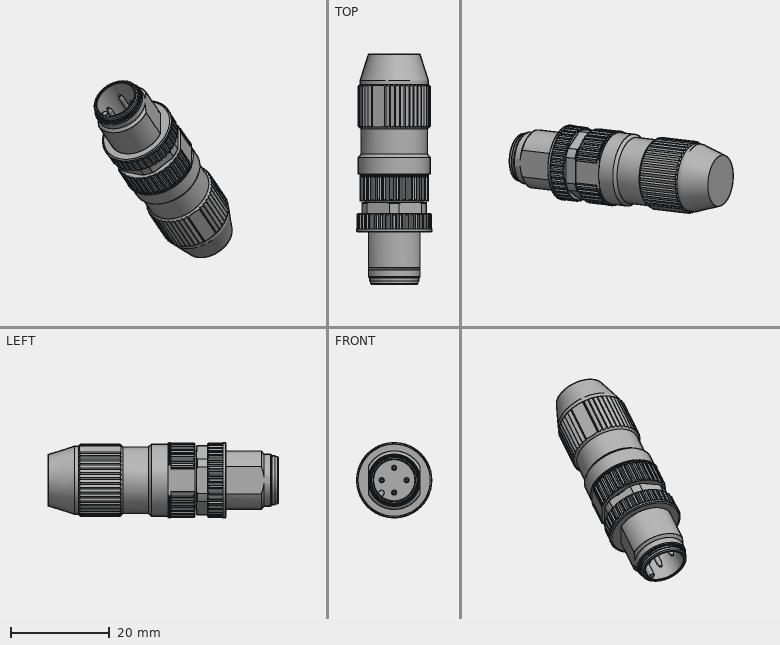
import cadquery as cq
import math

LENGTH = 46.75

BUSHING_END_R = 10.45 / 2
BUSHING_R = 13.9 / 2
BUSHING_CONE_Y = 41.37
NUT_REAR_Y = 40.55
NUT_FRONT_Y = 31.55
NUT_R = 14.7 / 2
NUT_REAR_CHAMFER = 0.35
NUT_TEETH = 46
NUT_GROOVE_DEPTH = 0.255
NUT_VALLEY_SKEW = 0.0043
NUT_FLAT_ANGLE = 117.0
NUT_FLAT_RADIUS = 7.1
NUT_FLAT_HALF_WIDTH = 1.35

NECK_R = 13.5 / 2
COLLAR_CONE_Y = 26.4
COLLAR_Y = 25.75
COLLAR_R = 14.7 / 2

RING_TIP_R = 15.15 / 2
RING_SHOULDER_R = RING_TIP_R - 0.05
RING_ROOT_R = RING_TIP_R - 0.35
RING_TEETH = 36
RING_PITCH = 360.0 / RING_TEETH
RING_ROOT_SHARE = 0.25
RING_CREST_SHARE = 0.32
RING_CHAMFER = 0.25
LIP_R = 15.3 / 2
LIP_CHAMFER = 0.2
COUPLING_BEVEL_WIDTH = 0.35
COUPLING_BEVEL_LENGTH = 0.15
GRIP_REAR_Y = 22.45
GRIP_LIP_Y = 21.8
GRIP_FRONT_Y = 16.95
GRIP_FLATS = 13.9

SHANK_R = 11.8 / 2
HEX_REAR_Y = 16.6
HEX_FLATS = 13.1
HEX_CORNER_R = 14.1 / 2
HEX_CHAMFER = 0.15

COUPLING_REAR_Y = 14.35
COUPLING_LIP_Y = 11.25
COUPLING_FRONT_Y = 10.6

SLEEVE_R = 11.87 / 2
SLEEVE_CONE_Y = 3.45
NOSE_R = 10.6 / 2
NOSE_REAR_Y = 2.95
NOSE_FRONT_Y = 1.45
NOSE_CHAMFER = 0.2
SLEEVE_FLATS = 10.5
GROOVE_R = 9.5 / 2
RIM_R = 9.95 / 2
RIM_REAR_Y = 1.25
RIM_FRONT_Y = 0.75
MOUTH_R = 9.7 / 2
MOUTH_CHAMFER = 0.25
BORE_CHAMFER = 0.15

BORE_R = 8.35 / 2
BORE_DEPTH = 8.4
PIN_R = 0.5
PIN_CIRCLE_R = 2.52
PIN_FRONT_Y = 1.95
PIN_TIP_LENGTH = 0.95
PIN_TIP_R = 0.25
KEY_R = 0.55
KEY_CENTER_R = 3.65
KEY_ANGLE = 225.0
KEY_FRONT_Y = 0.45


def polar(radius, degrees):
    """Point in the XZ plane; the angle is counted from +X towards +Z."""
    angle = math.radians(degrees)
    return (radius * math.cos(angle), radius * math.sin(angle))


def section(y):
    """Cross-section plane at a given Y, with local axes +X and +Z, extruding towards -Y."""
    return cq.Workplane("XZ", origin=(0, y, 0))


def revolve_profile(points):
    """Solid of revolution about Y from (radius, y) points, closed along the axis."""
    outline = [(0, points[0][1])] + points + [(0, points[-1][1])]
    return cq.Workplane("XY").polyline(outline).close().revolve(360, (0, 0), (0, 1))


def flats_across_x(width, rear_y, front_y):
    """Slab that trims a round section to two flats facing +X and -X."""
    return section(rear_y).rect(width, 2 * LIP_R + 0.45).extrude(rear_y - front_y)


def half_nut_outline():
    """Sawtooth outline over half a turn, from one wrench flat to the opposite one."""
    pitch = 360.0 / NUT_TEETH
    flat_edge_angle = math.degrees(math.atan2(NUT_FLAT_HALF_WIDTH, NUT_FLAT_RADIUS))
    flat_edge_r = math.hypot(NUT_FLAT_HALF_WIDTH, NUT_FLAT_RADIUS)
    points = [(flat_edge_r, flat_edge_angle)]
    for tooth in range(1, NUT_TEETH // 2 - 1):
        tip = (tooth + 0.5) * pitch
        points.append((NUT_R, tip))
        valley_share = 0.5 + NUT_VALLEY_SKEW * (tip + pitch / 2 - 90)
        points.append((NUT_R - NUT_GROOVE_DEPTH, tip + valley_share * pitch))
    points[-1] = (flat_edge_r, 180 - flat_edge_angle)
    return points


def clamping_nut():
    """Toothed nut with two opposite wrench flats and a 45 degree cone at its front."""
    half = half_nut_outline()
    outline = [polar(r, NUT_FLAT_ANGLE + turn + a) for turn in (0, 180) for r, a in half]
    toothed = section(NUT_REAR_Y).polyline(outline).close().extrude(NUT_REAR_Y - NUT_FRONT_Y)
    envelope = revolve_profile([
        (BUSHING_R, NUT_REAR_Y),
        (NUT_R, NUT_REAR_Y - NUT_REAR_CHAMFER),
        (NUT_R, NUT_FRONT_Y + NUT_R - NECK_R),
        (NECK_R, NUT_FRONT_Y),
    ])
    return toothed.intersect(envelope)


def bushing_and_housing():
    return revolve_profile([
        (BUSHING_END_R, LENGTH),
        (BUSHING_R, BUSHING_CONE_Y),
        (BUSHING_R, NUT_REAR_Y),
        (NECK_R, NUT_REAR_Y),
        (NECK_R, COLLAR_CONE_Y),
        (COLLAR_R, COLLAR_Y),
        (COLLAR_R, GRIP_REAR_Y),
        (SHANK_R, GRIP_REAR_Y),
        (SHANK_R, COUPLING_REAR_Y),
    ])


def toothed_ring(rear_y, front_y, first_tooth_angle):
    """Ring of round-crested teeth."""
    root_half = RING_PITCH * RING_ROOT_SHARE / 2
    crest_half = RING_PITCH * RING_CREST_SHARE / 2
    start = first_tooth_angle - RING_PITCH / 2
    ring = section(rear_y).moveTo(*polar(RING_ROOT_R, start - root_half))
    for tooth in range(RING_TEETH):
        crest = first_tooth_angle + tooth * RING_PITCH
        ring = (
            ring.lineTo(*polar(RING_ROOT_R, crest - RING_PITCH / 2 + root_half))
            .lineTo(*polar(RING_SHOULDER_R, crest - crest_half))
            .threePointArc(polar(RING_TIP_R, crest), polar(RING_SHOULDER_R, crest + crest_half))
        )
        if tooth < RING_TEETH - 1:
            ring = ring.lineTo(*polar(RING_ROOT_R, crest + RING_PITCH / 2 - root_half))
    return ring.close().extrude(rear_y - front_y)


def grip_ring():
    lip = revolve_profile([
        (LIP_R - LIP_CHAMFER, GRIP_REAR_Y),
        (LIP_R, GRIP_REAR_Y - LIP_CHAMFER),
        (LIP_R, GRIP_LIP_Y + LIP_CHAMFER),
        (LIP_R - LIP_CHAMFER, GRIP_LIP_Y),
    ])
    envelope = revolve_profile([
        (RING_TIP_R, GRIP_LIP_Y),
        (RING_TIP_R, GRIP_FRONT_Y + RING_CHAMFER),
        (RING_TIP_R - RING_CHAMFER, GRIP_FRONT_Y),
    ])
    teeth = toothed_ring(GRIP_LIP_Y, GRIP_FRONT_Y, RING_PITCH / 2).intersect(envelope)
    return lip.union(teeth).intersect(flats_across_x(GRIP_FLATS, GRIP_REAR_Y, GRIP_FRONT_Y))


def hexagon():
    """Hexagon with rounded corners and two of its faces towards +X and -X."""
    corner_diameter = HEX_FLATS / math.cos(math.pi / 6)
    prism = (
        section(HEX_REAR_Y)
        .transformed(rotate=(0, 0, 30))
        .polygon(6, corner_diameter)
        .extrude(HEX_REAR_Y - COUPLING_REAR_Y)
    )
    envelope = revolve_profile([
        (HEX_CORNER_R - HEX_CHAMFER, HEX_REAR_Y),
        (HEX_CORNER_R, HEX_REAR_Y - HEX_CHAMFER),
        (HEX_CORNER_R, COUPLING_REAR_Y),
    ])
    return prism.intersect(envelope)


def coupling_ring():
    envelope = revolve_profile([
        (RING_TIP_R - RING_CHAMFER, COUPLING_REAR_Y),
        (RING_TIP_R, COUPLING_REAR_Y - RING_CHAMFER),
        (RING_TIP_R, COUPLING_LIP_Y),
    ])
    teeth = toothed_ring(COUPLING_REAR_Y, COUPLING_LIP_Y, 0).intersect(envelope)
    lip = revolve_profile([
        (LIP_R, COUPLING_LIP_Y),
        (LIP_R, COUPLING_FRONT_Y + COUPLING_BEVEL_LENGTH),
        (LIP_R - COUPLING_BEVEL_WIDTH, COUPLING_FRONT_Y),
    ])
    return teeth.union(lip)


def plug_sleeve():
    """Round sleeve with two flats, a latching groove and an open socket."""
    barrel = revolve_profile([
        (SLEEVE_R, COUPLING_FRONT_Y),
        (SLEEVE_R, SLEEVE_CONE_Y),
        (NOSE_R, NOSE_REAR_Y),
        (NOSE_R, NOSE_FRONT_Y + NOSE_CHAMFER),
        (NOSE_R - NOSE_CHAMFER, NOSE_FRONT_Y),
    ])
    barrel = barrel.intersect(flats_across_x(SLEEVE_FLATS, COUPLING_FRONT_Y, NOSE_FRONT_Y))
    mouth = revolve_profile([
        (GROOVE_R, NOSE_FRONT_Y),
        (GROOVE_R, RIM_REAR_Y),
        (RIM_R, RIM_REAR_Y),
        (RIM_R, RIM_FRONT_Y),
        (MOUTH_R, RIM_FRONT_Y),
        (MOUTH_R, MOUTH_CHAMFER),
        (MOUTH_R - MOUTH_CHAMFER, 0),
    ])
    bore = revolve_profile([
        (BORE_R, BORE_DEPTH),
        (BORE_R, BORE_CHAMFER),
        (BORE_R + BORE_CHAMFER, 0),
    ])
    return barrel.union(mouth).cut(bore)


def pins():
    """Four contact pins with tapered tips, standing on the socket floor."""
    pin = revolve_profile([
        (PIN_R, BORE_DEPTH),
        (PIN_R, PIN_FRONT_Y + PIN_TIP_LENGTH),
        (PIN_TIP_R, PIN_FRONT_Y),
    ])
    group = cq.Workplane("XY")
    for angle in (0, 90, 180, 270):
        x, z = polar(PIN_CIRCLE_R, angle)
        group = group.union(pin.translate((x, 0, z)))
    return group


def coding_key():
    """Round-nosed key along the socket wall."""
    rib = (
        section(BORE_DEPTH)
        .transformed(rotate=(0, 0, KEY_ANGLE))
        .center(KEY_CENTER_R, 0)
        .circle(KEY_R)
        .extrude(BORE_DEPTH - KEY_FRONT_Y)
    )
    backing = (
        section(BORE_DEPTH)
        .transformed(rotate=(0, 0, KEY_ANGLE))
        .center((KEY_CENTER_R + GROOVE_R) / 2, 0)
        .rect(GROOVE_R - KEY_CENTER_R, 2 * KEY_R)
        .extrude(BORE_DEPTH - KEY_FRONT_Y)
    )
    wall_middle_r = (BORE_R + GROOVE_R) / 2
    sleeve_inside = revolve_profile([(wall_middle_r, BORE_DEPTH), (wall_middle_r, 0)])
    return rib.union(backing).intersect(sleeve_inside)


result = (
    bushing_and_housing()
    .union(clamping_nut())
    .union(grip_ring())
    .union(hexagon())
    .union(coupling_ring())
    .union(plug_sleeve())
    .union(pins())
    .union(coding_key())
)